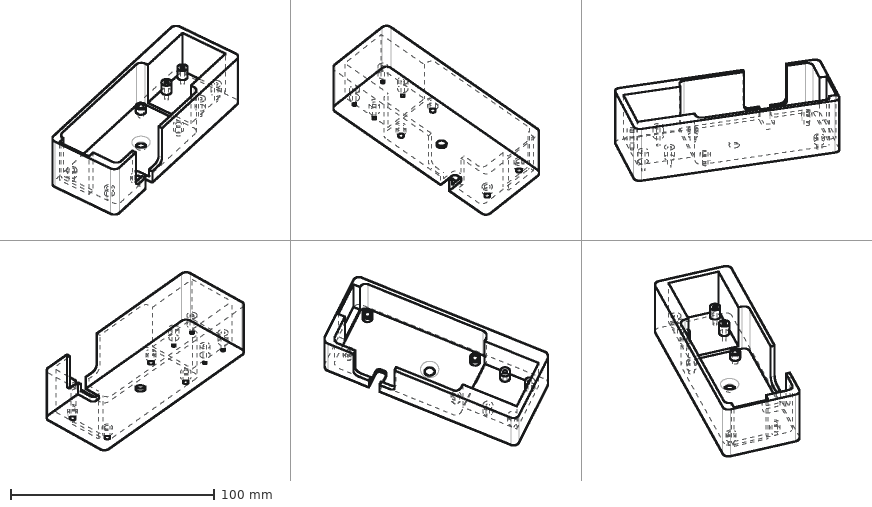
import cadquery as cq

WIDTH = 40.0
LENGTH = 105.0
HEIGHT = 30.0
CORNER_RADIUS = 3.0

MAIN_WIDTH = 35.8
MAIN_BACK_Y = 20.3
MAIN_FRONT_Y = -48.0
MAIN_FLOOR = 3.0

REAR_WIDTH = 26.1
REAR_BACK_Y = 49.5
REAR_FLOOR = 5.0

POST_DIAMETER = 5.0
MAIN_POST_XS = (-13.4, 9.5)
MAIN_POST_YS = (14.9, -43.3)
MAIN_POST_HEIGHT = 3.5
MAIN_POST_BORE = 2.8
REAR_POST_XS = (-10.5, 10.0)
REAR_POST_YS = (45.9, 32.4)
REAR_POST_HEIGHT = 6.0
REAR_POST_BORE = 1.8

FLOOR_HOLE_Y = -3.6
FLOOR_HOLE_DIAMETER = 5.0
FLOOR_HOLE_ROUNDING = 2.0

WINDOW_CENTER_Y = -24.6
WINDOW_LENGTH = 22.0
WINDOW_SILL = 7.5
WINDOW_RADIUS = 3.2
SLOT_WIDTH = 5.7
SLOT_END_X = 9.9
SLOT_CORNER_RADIUS = 2.1

RECESS_X_MIN = -14.9
RECESS_X_MAX = 3.0
RECESS_FRONT_Y = -51.6
RECESS_FLOOR = 5.0


def box_between(x_range, y_range, z_range):
    """Box spanning the given coordinate ranges."""
    (x0, x1), (y0, y1), (z0, z1) = x_range, y_range, z_range
    return cq.Workplane("XY").box(x1 - x0, y1 - y0, z1 - z0, centered=False).translate((x0, y0, z0))


def make_block():
    block = cq.Workplane("XY").box(WIDTH, LENGTH, HEIGHT, centered=(True, True, False))
    return block.edges("|Z").fillet(CORNER_RADIUS)


def make_main_pocket():
    half = MAIN_WIDTH / 2
    pocket = box_between((-half, half), (MAIN_FRONT_Y, MAIN_BACK_Y), (MAIN_FLOOR, HEIGHT))
    return pocket.edges("|Z").fillet(CORNER_RADIUS)


def make_rear_pocket():
    half = REAR_WIDTH / 2
    front_y = MAIN_BACK_Y - CORNER_RADIUS
    return box_between((-half, half), (front_y, REAR_BACK_Y), (REAR_FLOOR, HEIGHT))


def make_wall_recess():
    back_y = MAIN_FRONT_Y + CORNER_RADIUS
    return box_between((RECESS_X_MIN, RECESS_X_MAX), (RECESS_FRONT_Y, back_y), (RECESS_FLOOR, HEIGHT))


def make_window():
    """Opening through the +X wall, open at the top, with rounded lower corners."""
    half = WINDOW_LENGTH / 2
    inner_x = MAIN_WIDTH / 2 - CORNER_RADIUS
    y_range = (WINDOW_CENTER_Y - half, WINDOW_CENTER_Y + half)
    window = box_between((inner_x, WIDTH / 2), y_range, (WINDOW_SILL, HEIGHT))
    return window.edges("|X and <Z").fillet(WINDOW_RADIUS)


def make_slot():
    """Round-ended notch through the floor and the wall under the window."""
    half = SLOT_WIDTH / 2
    y_range = (WINDOW_CENTER_Y - half, WINDOW_CENTER_Y + half)
    slot = box_between((SLOT_END_X, WIDTH / 2), y_range, (0, HEIGHT))
    return slot.edges("|Z and <X").fillet(SLOT_CORNER_RADIUS)


def make_floor_hole():
    """Through hole that flares to the floor along a quarter-circle profile."""
    radius = FLOOR_HOLE_DIAMETER / 2
    mouth_radius = radius + FLOOR_HOLE_ROUNDING
    profile = (
        cq.Workplane("XZ")
        .lineTo(radius, 0)
        .lineTo(radius, MAIN_FLOOR - FLOOR_HOLE_ROUNDING)
        .radiusArc((mouth_radius, MAIN_FLOOR), FLOOR_HOLE_ROUNDING)
        .lineTo(0, MAIN_FLOOR)
        .close()
    )
    return profile.revolve(360, (0, 0, 0), (0, 1, 0)).translate((0, FLOOR_HOLE_Y, 0))


def add_posts(body, xs, ys, floor, height, bore):
    """Add a post at each (x, y) and bore it through the floor."""
    points = [(x, y) for x in xs for y in ys]
    posts = cq.Workplane("XY").pushPoints(points).circle(POST_DIAMETER / 2).extrude(floor + height)
    bores = cq.Workplane("XY").pushPoints(points).circle(bore / 2).extrude(floor + height)
    return body.union(posts).cut(bores)


result = make_block()
for cutter in (
    make_main_pocket(),
    make_rear_pocket(),
    make_wall_recess(),
    make_window(),
    make_slot(),
    make_floor_hole(),
):
    result = result.cut(cutter)
result = add_posts(result, MAIN_POST_XS, MAIN_POST_YS, MAIN_FLOOR, MAIN_POST_HEIGHT, MAIN_POST_BORE)
result = add_posts(result, REAR_POST_XS, REAR_POST_YS, REAR_FLOOR, REAR_POST_HEIGHT, REAR_POST_BORE)